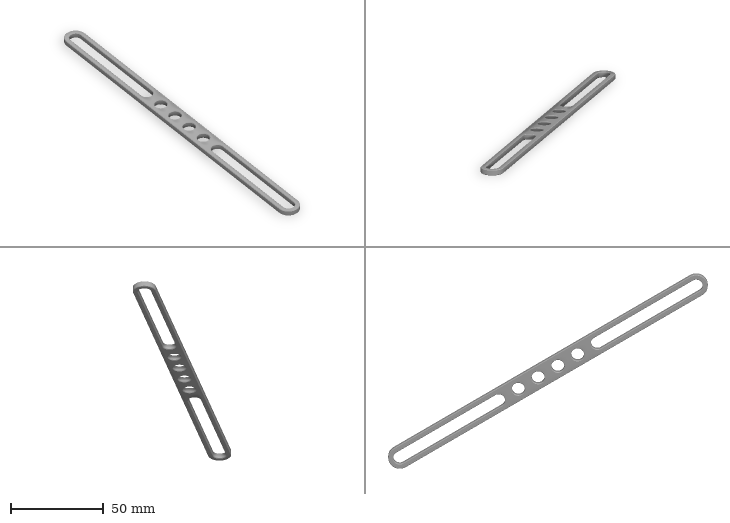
import cadquery as cq

length = 200.0
cell_count = 16
hole_count = 4
hole_diameter = 7.0
edge_chamfer = 0.3

pitch = length / cell_count
width = pitch
thickness = pitch / 4
hole_span = (hole_count - 1) * pitch
cells_per_slot = (cell_count - hole_count) // 2
slot_travel = (cells_per_slot - 1) * pitch
slot_offset = (hole_count + cells_per_slot) / 2 * pitch


def make_bar():
    """Flat bar with fully rounded ends, standing on Z = 0."""
    return cq.Workplane("XY").slot2D(length, width).extrude(thickness)


def make_holes():
    """Cutters for the row of round through holes in the middle."""
    places = [(index * pitch - hole_span / 2, 0) for index in range(hole_count)]
    return cq.Workplane("XY").pushPoints(places).circle(hole_diameter / 2).extrude(thickness)


def make_slots():
    """Cutters for the two long through slots, one on each side of the holes."""
    places = [(-slot_offset, 0), (slot_offset, 0)]
    slot_length = slot_travel + hole_diameter
    return cq.Workplane("XY").pushPoints(places).slot2D(slot_length, hole_diameter).extrude(thickness)


result = make_bar().cut(make_holes()).cut(make_slots())

result = result.faces("|Z").edges().chamfer(edge_chamfer)